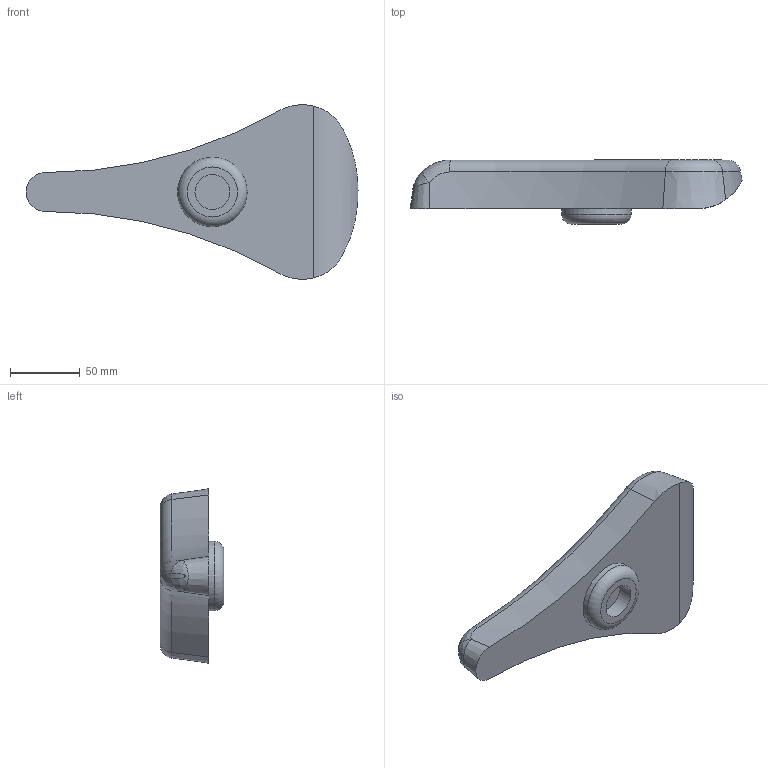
import cadquery as cq
import math

thickness = 35.0
draft_angle = 8.0
top_edge_radius = 10.0

tip_radius = 14.0
tip_end_x = -134.0

nose_radius = 28.2
nose_top_x = -105.0

half_width = 62.75
corner_radius = 34.5
corner_center_x = 64.8
wide_end_x = 107.63

chin_radius = 35.0
chin_start_x = 72.8

boss_diameter = 50.0
boss_height = 11.0
boss_edge_radius = 7.0
bore_diameter = 25.0
bore_depth = boss_height


def point_on_circle(center, radius, angle):
    return (center[0] + radius * math.cos(angle), center[1] + radius * math.sin(angle))


def mirrored(point):
    return (point[0], -point[1])


def drafted_body():
    """Tapered plate with concave flanks, round corners, a bowed wide end and a round tip."""
    tip_center_x = tip_end_x + tip_radius
    tip_side = (tip_center_x, tip_radius)
    corner_center = (corner_center_x, half_width - corner_radius)

    run = corner_center_x - tip_center_x
    rise = corner_center[1] - tip_radius
    flank_radius = (run**2 + rise**2 - corner_radius**2) / (2 * (corner_radius + rise))
    flank_center = (tip_center_x, tip_radius + flank_radius)
    flank_end_angle = math.atan2(corner_center[1] - flank_center[1], run)
    flank_middle_angle = (flank_end_angle - math.pi / 2) / 2
    flank_middle = point_on_circle(flank_center, flank_radius, flank_middle_angle)
    flank_end = point_on_circle(flank_center, flank_radius, flank_end_angle)

    reach = wide_end_x - corner_center_x
    end_radius = (reach**2 + corner_center[1] ** 2 - corner_radius**2) / (2 * (reach - corner_radius))
    end_center_x = wide_end_x - end_radius
    corner_end_angle = math.atan2(corner_center[1], corner_center_x - end_center_x)
    corner_end = point_on_circle(corner_center, corner_radius, corner_end_angle)
    corner_top = (corner_center_x, half_width)

    return (
        cq.Workplane("XZ")
        .moveTo(*tip_side)
        .threePointArc(flank_middle, flank_end)
        .threePointArc(corner_top, corner_end)
        .threePointArc((wide_end_x, 0), mirrored(corner_end))
        .threePointArc(mirrored(corner_top), mirrored(flank_end))
        .threePointArc(mirrored(flank_middle), mirrored(tip_side))
        .threePointArc((tip_end_x, 0), tip_side)
        .close()
        .extrude(-thickness, taper=draft_angle)
    )


def nose_cutter():
    """Corner of material left outside a convex arc that runs from the top face down to the tip."""
    arc_center = (nose_top_x, thickness - nose_radius)
    arc_end = (nose_top_x - nose_radius, arc_center[1])
    arc_middle = point_on_circle(arc_center, nose_radius, 3 * math.pi / 4)
    return (
        cq.Workplane("XY")
        .moveTo(nose_top_x, thickness)
        .threePointArc(arc_middle, arc_end)
        .lineTo(tip_end_x, arc_end[1])
        .lineTo(tip_end_x, thickness)
        .close()
        .extrude(half_width, both=True)
    )


def rounded_body():
    """Body with the nose cut away and the rim of the top and nose faces rounded in one run."""
    nosed = drafted_body().cut(nose_cutter())
    return nosed.faces(">Y or %CYLINDER").edges("not |Z").fillet(top_edge_radius)


def chin_cutter():
    """Everything beyond a convex arc that leaves the flat face tangentially at the wide end."""
    chin_end_x = chin_start_x + chin_radius
    arc_middle = point_on_circle((chin_start_x, chin_radius), chin_radius, -math.pi / 4)
    return (
        cq.Workplane("XY")
        .moveTo(chin_start_x, 0)
        .threePointArc(arc_middle, (chin_end_x, chin_radius))
        .lineTo(chin_end_x, 0)
        .close()
        .extrude(half_width, both=True)
    )


def boss():
    """Round boss standing on the flat face, with a rounded rim."""
    return (
        cq.Workplane("XZ")
        .circle(boss_diameter / 2)
        .extrude(boss_height)
        .faces("<Y")
        .edges()
        .fillet(boss_edge_radius)
    )


def bore_cutter():
    """Blind bore sunk into the boss from its outer face."""
    return (
        cq.Workplane("XZ")
        .workplane(offset=boss_height - bore_depth)
        .circle(bore_diameter / 2)
        .extrude(bore_depth)
    )


result = rounded_body().cut(chin_cutter()).union(boss()).cut(bore_cutter())